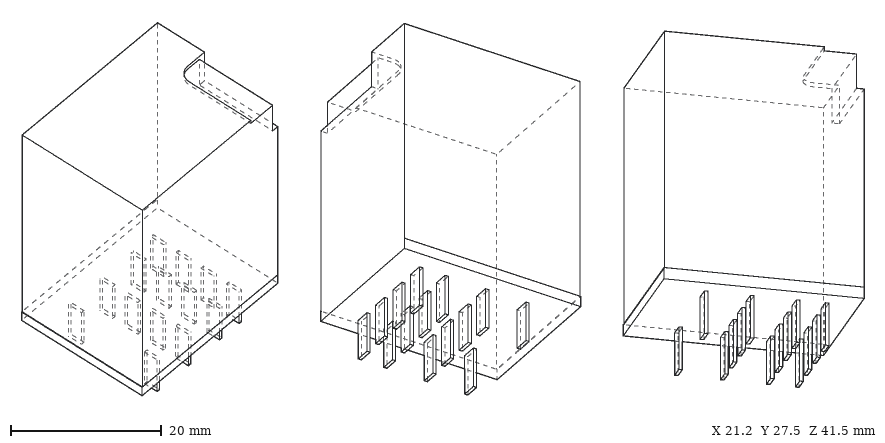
import cadquery as cq

width = 21.2
depth = 27.5
height = 41.5

pin_length = 6.05
base_thickness = 1.6
cover_front_setback = 0.1
cover_side_setback = 0.02
base_top = pin_length + base_thickness
cover_height = height - base_top
cover_depth = depth - cover_front_setback
cover_width = width - 2 * cover_side_setback

recess_start = 8.3
recess_reach = 5.48
recess_depth = 0.6
recess_corner_radius = 2.08
step_reach = 1.05
step_depth = recess_reach
recess_width = width - recess_start

pin_width = 2.25
pin_thickness = 0.5
pin_pitch = 4.45
pin_columns = 4
first_row_offset = 4.35
contact_row_gap = 4.0
wide_row_gap = 6.3


def block(size_x, size_y, size_z, left, front, bottom):
    """Box placed by its lowest X, Y and Z corner."""
    return cq.Workplane("XY").box(size_x, size_y, size_z, centered=False).translate((left, front, bottom))


def make_cover():
    left = -width / 2
    back = depth / 2
    cover = block(cover_width, cover_depth, cover_height, left + cover_side_setback, back - cover_depth, base_top)

    recess_left = left + recess_start
    recess = block(
        recess_width, recess_reach, recess_depth,
        recess_left, back - recess_reach, height - recess_depth,
    )
    recess = recess.edges("|Z and <X and <Y").fillet(recess_corner_radius)
    step = block(
        recess_width, step_reach, step_depth,
        recess_left, back - step_reach, height - step_depth,
    )
    return cover.cut(recess).cut(step)


def pin_positions():
    """Three full contact rows, then a coil row with only the two outer pins."""
    row_1 = depth / 2 - first_row_offset
    row_2 = row_1 - contact_row_gap
    row_3 = row_2 - wide_row_gap
    coil_row = row_3 - wide_row_gap
    columns = [(i - (pin_columns - 1) / 2) * pin_pitch for i in range(pin_columns)]
    contacts = [(x, y) for y in (row_1, row_2, row_3) for x in columns]
    coil = [(x, coil_row) for x in (columns[0], columns[-1])]
    return contacts + coil


base = block(width, depth, base_thickness, -width / 2, -depth / 2, pin_length)
pins = (
    cq.Workplane("XY")
    .pushPoints(pin_positions())
    .rect(pin_width, pin_thickness)
    .extrude(pin_length)
)

result = base.union(make_cover()).union(pins)